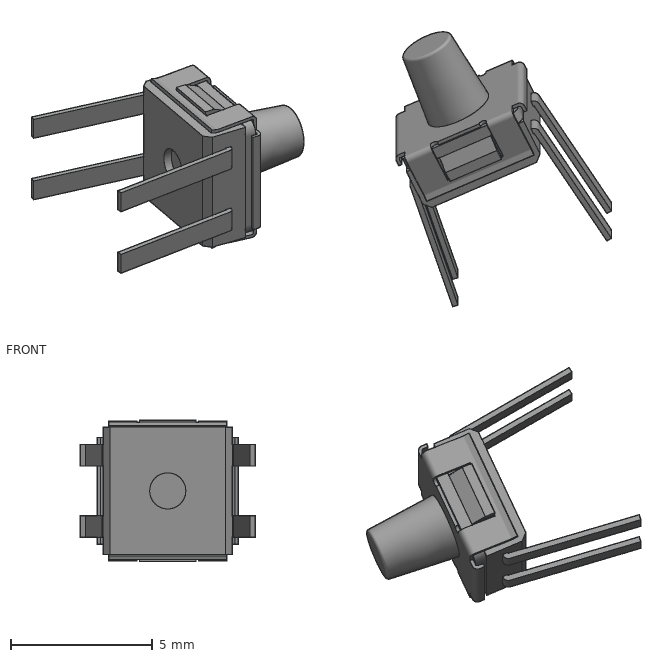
import cadquery as cq
import math


OVERALL_LENGTH = 8.87

BASE_HALF_X = 2.29
BASE_HALF_Z = 2.25
BASE_SHOULDER_Y = 1.62
BASE_CHAMFER = 0.25
NECK_HALF_X = 2.27
NECK_HALF_Z = 2.29
NECK_CORNER_RADIUS = 0.46
HOLE_RADIUS = 0.64
HOLE_DEPTH = 0.3

COVER_TOP_Y = 2.19
SHEET = 0.12
COVER_GAP = 0.02
BEND_RADIUS = 0.195
NECK_TOP_Y = COVER_TOP_Y - SHEET - COVER_GAP

HOOK_REACH_X = 2.5
HOOK_HALF_Z = 1.89
HOOK_END_Y = 1.8

FLAP_REACH_Z = 2.475
FLAP_HALF_X = 2.09
FLAP_LEAN = math.radians(4.2)
FLAP_CREASE_Y = 0.57
CREASE_RADIUS = 0.09
FLARE_ANGLE = math.radians(15)
FLARE_LENGTH = 0.22

WINDOW_HALF_X = 1.08
WINDOW_BOTTOM_Y = 0.75
RIM_Z = 2.235
RELIEF_RADIUS = 0.13

LATCH_HALF_X = 1.0
LATCH_REACH_Z = 2.5
LATCH_CREST_Y = 1.1
LATCH_BOTTOM_Y = 0.73

PLUNGER_TIP_Y = 4.86
PLUNGER_BASE_RADIUS = 1.19
PLUNGER_TIP_RADIUS = 0.95
PLUNGER_ROUND = 0.11

PIN_THICKNESS = 0.195
PIN_WIDTH = 0.77
PIN_OFFSET_Z = 1.26
PIN_BEND_X = 2.31
PIN_BEND_Y = 0.8
PIN_BEND_RADIUS = 0.21
PIN_SPAN_X = 6.2
PIN_TIP_X = PIN_SPAN_X / 2
PIN_TIP_Y = PLUNGER_TIP_Y - OVERALL_LENGTH
PIN_EMBED = 0.18


def block(x_half, y_low, y_high, z_half):
    """Box centred on the Y axis."""
    size_y = y_high - y_low
    return cq.Workplane("XY").box(2 * x_half, size_y, 2 * z_half).translate((0, y_low + size_y / 2, 0))


def extrude_along_x(profile, half_length):
    """Extrude a profile drawn on the YZ plane evenly about X = 0."""
    return profile.close().extrude(half_length, both=True)


def with_mirror(solid, plane):
    return solid.union(solid.mirror(plane))


def make_base():
    lower = block(BASE_HALF_X, 0, BASE_SHOULDER_Y, BASE_HALF_Z)
    lower = lower.faces("<Y").edges("|Z").chamfer(BASE_CHAMFER)
    neck = block(NECK_HALF_X, BASE_SHOULDER_Y, NECK_TOP_Y, NECK_HALF_Z)
    neck = neck.edges("|Y").fillet(NECK_CORNER_RADIUS)
    hole = cq.Workplane("XZ").circle(HOLE_RADIUS).extrude(-HOLE_DEPTH)
    return lower.union(neck).cut(hole)


def make_latch():
    """Wedge rising from the neck to a flat crest."""
    profile = (
        cq.Workplane("YZ")
        .moveTo(BASE_SHOULDER_Y, 0)
        .lineTo(BASE_SHOULDER_Y, NECK_HALF_Z)
        .lineTo(LATCH_CREST_Y, LATCH_REACH_Z)
        .lineTo(LATCH_BOTTOM_Y, LATCH_REACH_Z)
        .lineTo(LATCH_BOTTOM_Y, 0)
    )
    return extrude_along_x(profile, LATCH_HALF_X)


def make_hook():
    """Strip from the middle of the cover to one X side, bent down towards the base."""
    bend_x = HOOK_REACH_X - BEND_RADIUS
    bend_y = COVER_TOP_Y - BEND_RADIUS
    inner_radius = BEND_RADIUS - SHEET
    diagonal = math.sqrt(0.5)
    profile = (
        cq.Workplane("XY")
        .moveTo(0, COVER_TOP_Y)
        .lineTo(bend_x, COVER_TOP_Y)
        .threePointArc(
            (bend_x + BEND_RADIUS * diagonal, bend_y + BEND_RADIUS * diagonal),
            (HOOK_REACH_X, bend_y),
        )
        .lineTo(HOOK_REACH_X, HOOK_END_Y)
        .lineTo(HOOK_REACH_X - SHEET, HOOK_END_Y)
        .lineTo(HOOK_REACH_X - SHEET, bend_y)
        .threePointArc(
            (bend_x + inner_radius * diagonal, bend_y + inner_radius * diagonal),
            (bend_x, COVER_TOP_Y - SHEET),
        )
        .lineTo(0, COVER_TOP_Y - SHEET)
    )
    return profile.close().extrude(HOOK_HALF_Z, both=True)


def make_flap():
    """Strip from the middle of the cover to the +Z side, bent down, leaning in and flared out."""
    bend_y = COVER_TOP_Y - BEND_RADIUS
    bend_z = FLAP_REACH_Z - BEND_RADIUS
    inner_radius = BEND_RADIUS - SHEET

    def on_bend(radius, angle):
        return (bend_y + radius * math.cos(angle), bend_z + radius * math.sin(angle))

    bend_end = math.pi / 2 + FLAP_LEAN
    bend_middle = bend_end / 2
    outer_end = on_bend(BEND_RADIUS, bend_end)

    crease_z = outer_end[1] - (outer_end[0] - FLAP_CREASE_Y) * math.tan(FLAP_LEAN)
    half_turn = (FLAP_LEAN + FLARE_ANGLE) / 2
    mitre = SHEET / math.cos(half_turn)
    mitre_tilt = (FLARE_ANGLE - FLAP_LEAN) / 2
    inner_crease = (
        FLAP_CREASE_Y - mitre * math.sin(mitre_tilt),
        crease_z - mitre * math.cos(mitre_tilt),
    )
    flare_outer = (
        FLAP_CREASE_Y - FLARE_LENGTH * math.cos(FLARE_ANGLE),
        crease_z + FLARE_LENGTH * math.sin(FLARE_ANGLE),
    )
    flare_inner = (
        flare_outer[0] - SHEET * math.sin(FLARE_ANGLE),
        flare_outer[1] - SHEET * math.cos(FLARE_ANGLE),
    )

    profile = (
        cq.Workplane("YZ")
        .moveTo(COVER_TOP_Y, 0)
        .lineTo(COVER_TOP_Y, bend_z)
        .threePointArc(on_bend(BEND_RADIUS, bend_middle), outer_end)
        .lineTo(FLAP_CREASE_Y, crease_z)
        .lineTo(*flare_outer)
        .lineTo(*flare_inner)
        .lineTo(*inner_crease)
        .lineTo(*on_bend(inner_radius, bend_end))
        .threePointArc(on_bend(inner_radius, bend_middle), (COVER_TOP_Y - SHEET, bend_z))
        .lineTo(COVER_TOP_Y - SHEET, 0)
    )
    flap = extrude_along_x(profile, FLAP_HALF_X)
    flap = flap.edges(cq.NearestToPointSelector((0, FLAP_CREASE_Y, crease_z))).fillet(CREASE_RADIUS)
    return flap.edges(cq.NearestToPointSelector((0, *inner_crease))).fillet(CREASE_RADIUS + SHEET)


def make_window():
    """Cutter for the flap window, with a round relief at each end of the rim."""
    height = COVER_TOP_Y - WINDOW_BOTTOM_Y
    depth = LATCH_REACH_Z - RIM_Z
    opening = (
        cq.Workplane("XY")
        .box(2 * WINDOW_HALF_X, height, depth)
        .translate((0, WINDOW_BOTTOM_Y + height / 2, RIM_Z + depth / 2))
    )
    relief_x = WINDOW_HALF_X - RELIEF_RADIUS
    reliefs = (
        cq.Workplane("XZ", origin=(0, COVER_TOP_Y, 0))
        .pushPoints([(-relief_x, RIM_Z), (relief_x, RIM_Z)])
        .circle(RELIEF_RADIUS)
        .extrude(SHEET)
    )
    return opening.union(reliefs)


def make_cover():
    hooks = with_mirror(make_hook(), "YZ")
    flaps = with_mirror(make_flap().cut(make_window()), "XY")
    return hooks.union(flaps)


def make_plunger():
    """Tapered round button standing on the base, with a rounded tip."""
    cone = (
        cq.Workplane("XY")
        .moveTo(0, NECK_TOP_Y)
        .lineTo(PLUNGER_BASE_RADIUS, NECK_TOP_Y)
        .lineTo(PLUNGER_BASE_RADIUS, COVER_TOP_Y)
        .lineTo(PLUNGER_TIP_RADIUS, PLUNGER_TIP_Y)
        .lineTo(0, PLUNGER_TIP_Y)
        .close()
        .revolve(360, (0, 0, 0), (0, 1, 0))
    )
    return cone.faces(">Y").edges().fillet(PLUNGER_ROUND)


def make_pin():
    """Flat pin leaving the +X side, bent down and splayed outwards, centred on Z = 0."""
    shoulder_x = PIN_BEND_X + PIN_BEND_RADIUS
    diagonal = PIN_BEND_RADIUS * math.sqrt(0.5)
    root_x = BASE_HALF_X - PIN_EMBED

    splay = math.atan2(PIN_TIP_X - shoulder_x, PIN_BEND_Y - PIN_TIP_Y)
    tip_inner = (PIN_TIP_X - PIN_THICKNESS * math.cos(splay), PIN_TIP_Y)
    tip_outer = (PIN_TIP_X, PIN_TIP_Y + PIN_THICKNESS * math.sin(splay))
    inner_corner = (shoulder_x - PIN_THICKNESS / math.cos(splay), PIN_BEND_Y)

    profile = (
        cq.Workplane("XY")
        .moveTo(root_x, PIN_BEND_Y)
        .lineTo(root_x, PIN_BEND_Y + PIN_BEND_RADIUS)
        .lineTo(PIN_BEND_X, PIN_BEND_Y + PIN_BEND_RADIUS)
        .threePointArc((PIN_BEND_X + diagonal, PIN_BEND_Y + diagonal), (shoulder_x, PIN_BEND_Y))
        .lineTo(*tip_outer)
        .lineTo(*tip_inner)
        .lineTo(*inner_corner)
    )
    return profile.close().extrude(PIN_WIDTH / 2, both=True)


def make_pins():
    corner_pin = make_pin().translate((0, 0, PIN_OFFSET_Z))
    return with_mirror(with_mirror(corner_pin, "YZ"), "XY")


latches = with_mirror(make_latch(), "XY")
result = make_base().union(latches).union(make_cover()).union(make_plunger()).union(make_pins())